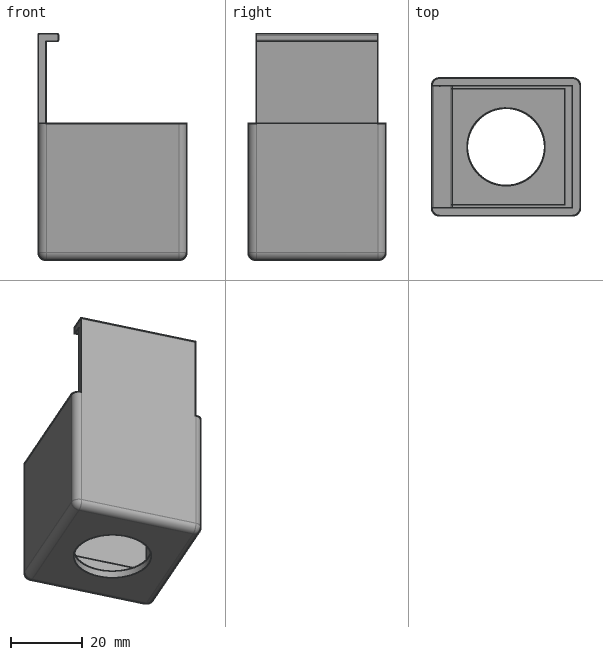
import cadquery as cq

length = 41.4
width = 38.4
box_height = 38.1
total_height = 63.1
wall = 2.2
edge_radius = wall

cavity_length = length - 2 * wall
cavity_width = width - 2 * wall
ledge_height = 9.2
ledge_end_width = 2.15
ledge_side_width = 0.8
hole_diameter = 21.5

lip_length = 5.7
lip_edge_radius = 0.5


def make_box():
    """Solid block with rounded vertical and bottom edges."""
    block = cq.Workplane("XY").box(length, width, box_height, centered=(True, True, False))
    return block.edges("|Z").fillet(edge_radius).faces("<Z").edges().fillet(edge_radius)


def make_back_plate():
    """Hooked plate rising from the -X wall, as wide as the cavity."""
    outer_x = -length / 2
    tip_x = outer_x + lip_length
    lip_bottom = total_height - wall
    plate_bottom = box_height / 2
    profile = [
        (outer_x, plate_bottom),
        (outer_x, total_height),
        (tip_x, total_height),
        (tip_x, lip_bottom),
        (outer_x + wall, lip_bottom),
        (outer_x + wall, plate_bottom),
    ]
    plate = cq.Workplane("XZ").polyline(profile).close().extrude(cavity_width / 2, both=True)
    plate = plate.faces("<X").edges("|Y and >Z").fillet(lip_edge_radius)
    return plate.faces(">X").edges("|Y").fillet(lip_edge_radius)


def make_cavity():
    """Upper cavity, lower pocket and round hole through the floor."""
    upper_depth = box_height - ledge_height
    upper = (
        cq.Workplane("XY", origin=(0, 0, ledge_height))
        .rect(cavity_length, cavity_width)
        .extrude(upper_depth)
    )
    pocket_length = cavity_length - 2 * ledge_end_width
    pocket_width = cavity_width - 2 * ledge_side_width
    pocket = (
        cq.Workplane("XY", origin=(0, 0, wall))
        .rect(pocket_length, pocket_width)
        .extrude(ledge_height - wall)
    )
    hole = cq.Workplane("XY").circle(hole_diameter / 2).extrude(ledge_height)
    return upper.union(pocket).union(hole)


result = make_box().cut(make_cavity()).union(make_back_plate())